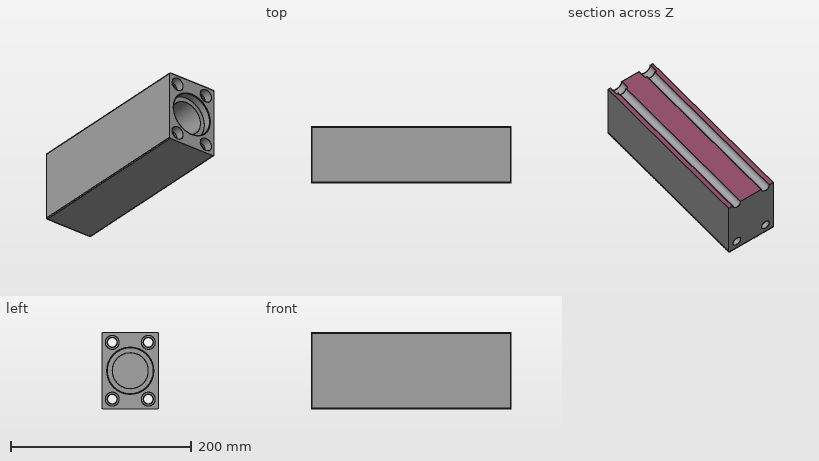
import cadquery as cq

length = 221.0
width = 63.0
height = 85.0
edge_chamfer = 1.0

bore_diameter = 40.0
end_wall = 22.0
bore_depth = length - end_wall
mouth_diameter = 51.0
mouth_depth = 10.0
mouth_chamfer = 0.7

bolt_spacing_y = 40.0
bolt_spacing_z = 63.0
bolt_hole_diameter = 10.5
bolt_head_diameter = 15.5
bolt_head_depth = 11.0


def end_face_plane():
    """Plane on the -X end whose normal points into the block."""
    return cq.Workplane("YZ", origin=(-length / 2, 0, 0))


def make_body():
    """Block with its four long edges chamfered."""
    return cq.Workplane("XY").box(length, width, height).edges("|X").chamfer(edge_chamfer)


def make_bore():
    """Bore and wider mouth, with a lead-in cone at the end face."""
    bore = end_face_plane().circle(bore_diameter / 2).extrude(bore_depth)
    mouth = end_face_plane().circle(mouth_diameter / 2).extrude(mouth_depth)
    lead_in = (
        end_face_plane()
        .circle(mouth_diameter / 2 + mouth_chamfer)
        .extrude(mouth_chamfer, taper=45)
    )
    return bore.union(mouth).union(lead_in)


def make_bolt_holes():
    """Through holes and head counterbores at the four corners."""
    corners = end_face_plane().rect(bolt_spacing_y, bolt_spacing_z, forConstruction=True).vertices()
    shanks = corners.circle(bolt_hole_diameter / 2).extrude(length)
    heads = corners.circle(bolt_head_diameter / 2).extrude(bolt_head_depth)
    return shanks.union(heads)


result = make_body().cut(make_bore()).cut(make_bolt_holes())